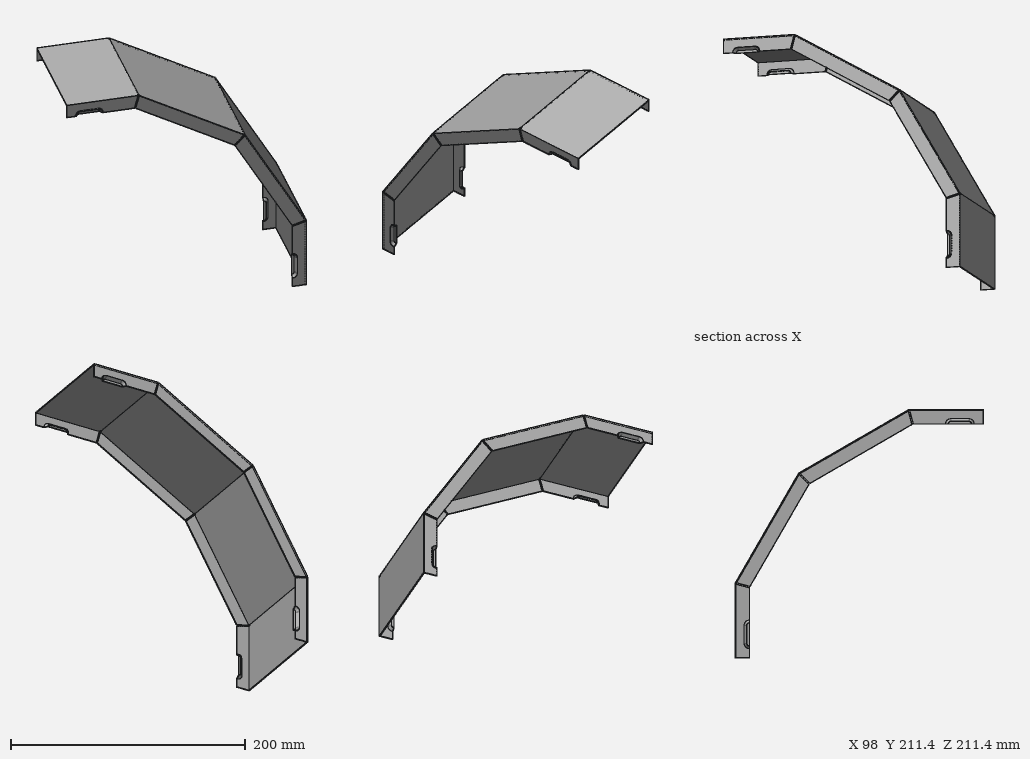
import cadquery as cq
import math


size = 211.4
width = 98.0
sheet = 1.0
flange_height = 12.5
end_panel_length = 63.6
bend_angle = math.radians(30)

slit_width = 1.0
slit_depth = 2.0
slit_overshoot = 2.1

recess_start = 8.5
recess_length = 23.2
recess_height = 4.2
recess_depth = 3.0
recess_corner = 4.0
wall_inset = 2.1
wall_angle = math.degrees(math.atan2(wall_inset, recess_depth))
bump_offset = sheet / math.cos(math.radians(wall_angle))

mid_panel_length = (size - end_panel_length) / (math.cos(bend_angle) + math.sin(bend_angle))
first_bend = (end_panel_length, size)
middle_bend = (
    end_panel_length + mid_panel_length * math.cos(bend_angle),
    size - mid_panel_length * math.sin(bend_angle),
)
last_bend = (size, end_panel_length)


def chain_points(depth):
    """(Y, Z) corners of the panel chain, at a depth below the outer face."""
    shortening = depth * math.tan(bend_angle / 2)
    end_length = end_panel_length - shortening
    level = size - depth
    mid_length = mid_panel_length - 2 * shortening
    mid_y = end_length + mid_length * math.cos(bend_angle)
    mid_z = level - mid_length * math.sin(bend_angle)
    return [(0, level), (end_length, level), (mid_y, mid_z), (level, end_length), (level, 0)]


def chain_plate(outer_depth, inner_depth, plate_width):
    """Band between two depths of the panel chain, centred on X = 0."""
    outline = chain_points(outer_depth) + chain_points(inner_depth)[::-1]
    return cq.Workplane("YZ").polyline(outline).close().extrude(plate_width / 2, both=True)


def both_sides(shape):
    """Shape together with its mirror image in X."""
    return shape.union(shape.mirror("YZ"))


def both_ends(shape):
    """Shape together with its copy on the other end panel, with Y and Z swapped."""
    return shape.union(shape.mirror((0, 1, -1)))


def slit(bend_point, turned_angle):
    """Slit on the -X side along the line that halves the bend."""
    length = 2 * (flange_height + slit_overshoot)
    cutter = cq.Workplane("XY").box(2 * slit_depth, slit_width, length)
    cutter = cutter.rotate((0, 0, 0), (1, 0, 0), -math.degrees(turned_angle))
    return cutter.translate((-width / 2, bend_point[0], bend_point[1]))


def pressed_form(offset, depth):
    """Tapered form pressed in from the -X side of the Y = 0 end flange, grown by an offset."""
    free_edge = size - flange_height
    mid_y = recess_start + recess_length / 2
    return (
        cq.Workplane("YZ", origin=(-width / 2, mid_y, free_edge))
        .sketch()
        .rect(recess_length + 2 * offset, 2 * (recess_height + offset))
        .vertices()
        .fillet(recess_corner + offset)
        .finalize()
        .extrude(depth, taper=wall_angle)
    )


cover = chain_plate(0, flange_height, width)
cover = cover.cut(chain_plate(sheet, flange_height, width - 2 * sheet))

for bend_number, bend_point in enumerate((first_bend, middle_bend, last_bend)):
    cover = cover.cut(both_sides(slit(bend_point, bend_angle * (bend_number + 0.5))))

flange_zone = chain_plate(0, flange_height, width)
bump = pressed_form(bump_offset, recess_depth + sheet).intersect(flange_zone)
recess = pressed_form(0, recess_depth)
cover = cover.union(both_ends(both_sides(bump)))
result = cover.cut(both_ends(both_sides(recess)))